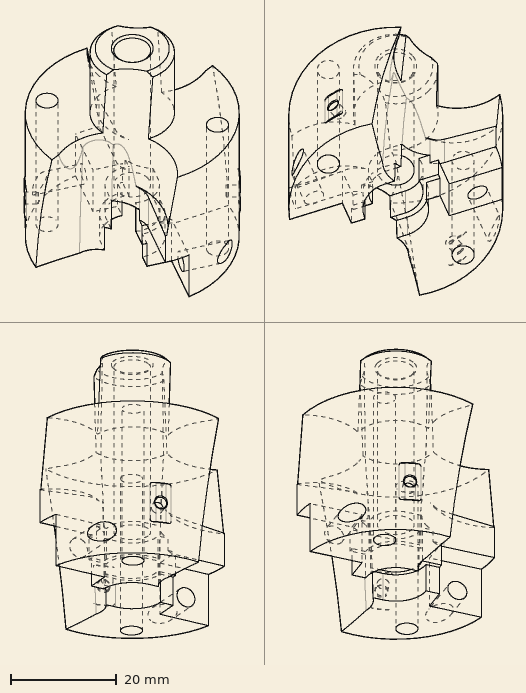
import cadquery as cq
import math

total_height = 47.6
body_height = 31.35
body_radius = 20.25
shaft_radius = 8.0
shaft_chamfer = 1.0
overrun = 4.75

bore_radius = 3.5
bore_chamfer = 0.5

groove_radius = 11.9
groove_distance = 17.75
groove_angle = 151.2
twist_rate = 0.441
groove_start_height = 14.3
ledge_height = 18.55
ledge_inner_x = 7.3
ledge_slope = 5.4

face_fillet_outer_x = 9.85
face_fillet_mid_x = 8.5
face_fillet_mid_y = 0.25
face_fillet_inner_x = 7.25
face_fillet_inner_y = 0.95
core_edge_y = 5.1
core_mid_y = 2.85
core_mid_fraction = 0.35
core_y = 8.55
core_bulge = 0.25
back_face_y = 10.95
back_mid_y = 15.25

flute_levels = [
    (0, 3.05, 1.5, 2.0, 2.75),
    (body_height / 2, 3.3, 2.35, 3.2, 4.85),
    (body_height, 4.4, 4.0, 6.15, 8.05),
]

seat_inner_x = 8.95
seat_depth = 4.9
seat_height = 10.55
insert_hole_radius = 1.95
insert_hole_x = 14.65
insert_hole_z = 4.75

wide_bore_radius = 6.2
wide_bore_height = 5.8
narrow_bore_radius = 5.15
narrow_bore_height = 13.1

coolant_radius = 2.1
coolant_distance = 16.5
coolant_angle = 240.0

pad_angle = 255.0
pad_width = 4.15
pad_flat_width = 2.0
pad_rise = 0.2
pad_root_depth = 0.95
pad_length = 8.1
pad_center_z = 10.6
pad_corner_radius = 0.5
pad_hole_radius = 1.15
pad_hole_chamfer = 0.2
pad_hole_depth = 2.65

repeat_angles = (0, 180)


def make_blank():
    """Round body with a chamfered shaft on top."""
    body = cq.Workplane("XY").circle(body_radius).extrude(body_height)
    shaft = cq.Workplane("XY").circle(shaft_radius).extrude(total_height)
    return body.union(shaft.faces(">Z").chamfer(shaft_chamfer))


def make_bore():
    """Through bore with a conical lead-in at the top."""
    mouth_radius = bore_radius + bore_chamfer
    cone_base = total_height - bore_chamfer
    return (
        cq.Workplane("XZ")
        .polyline([
            (0, 0),
            (bore_radius, 0),
            (bore_radius, cone_base),
            (mouth_radius, total_height),
            (0, total_height),
        ])
        .close()
        .revolve(360, (0, 0, 0), (0, 1, 0))
    )


def make_upper_flute():
    """Twisted round groove that ends below on a sloping ledge."""
    height = total_height - groove_start_height
    angle = math.radians(groove_angle - twist_rate * (body_height - groove_start_height))
    center = (groove_distance * math.cos(angle), groove_distance * math.sin(angle))
    groove = (
        cq.Workplane("XY")
        .workplane(offset=groove_start_height)
        .moveTo(*center)
        .circle(groove_radius)
        .twistExtrude(height, twist_rate * height)
    )
    return groove.intersect(make_space_above_ledge())


def make_space_above_ledge():
    """Block on the -X side whose sloping underside is the ledge."""
    reach = groove_distance + groove_radius
    slope = math.tan(math.radians(ledge_slope))
    return (
        cq.Workplane("XZ")
        .polyline([
            (0, ledge_height + slope * ledge_inner_x),
            (-reach, ledge_height - slope * (reach - ledge_inner_x)),
            (-reach, total_height),
            (0, total_height),
        ])
        .close()
        .extrude(reach, both=True)
    )


def make_lower_flute():
    """Flute lofted through three levels, leaving a small block beside the insert seat."""
    outside = body_radius + overrun
    sections = cq.Workplane("XY")
    previous_height = 0
    for height, edge_x, back_x, mid_x, rim_x in flute_levels:
        core_mid_x = edge_x + core_mid_fraction * (face_fillet_inner_x - edge_x)
        rim_y = math.sqrt(body_radius**2 - rim_x**2)
        sections = (
            sections
            .workplane(offset=height - previous_height)
            .moveTo(-outside, 0)
            .lineTo(-face_fillet_outer_x, 0)
            .threePointArc(
                (-face_fillet_mid_x, face_fillet_mid_y),
                (-face_fillet_inner_x, face_fillet_inner_y),
            )
            .threePointArc((-core_mid_x, core_mid_y), (-edge_x, core_edge_y))
            .threePointArc((core_bulge - back_x, core_y), (-back_x, back_face_y))
            .threePointArc((-mid_x, back_mid_y), (-rim_x, rim_y))
            .lineTo(-rim_x, outside)
            .lineTo(-outside, outside)
            .close()
        )
        previous_height = height
    block = (
        cq.Workplane("XY")
        .box(seat_inner_x, face_fillet_inner_y, seat_height, centered=False)
        .translate((-seat_inner_x, 0, 0))
    )
    return sections.loft(ruled=False).cut(block)


def make_counterbore(radius, height, side_y):
    """Round bore opened in the -X direction from side_y up to its own radius."""
    bore = cq.Workplane("XY").circle(radius).extrude(height)
    opening = (
        cq.Workplane("XY")
        .box(body_radius, radius - side_y, height, centered=False)
        .translate((-body_radius, side_y, 0))
    )
    return bore.union(opening)


def make_insert_seat():
    return (
        cq.Workplane("XY")
        .box(body_radius, seat_depth + wide_bore_radius, seat_height, centered=False)
        .translate((-seat_inner_x - body_radius, -seat_depth, 0))
    )


def make_insert_hole():
    return (
        cq.Workplane("XZ")
        .center(-insert_hole_x, insert_hole_z)
        .circle(insert_hole_radius)
        .extrude(body_radius)
    )


def make_coolant_hole():
    angle = math.radians(coolant_angle)
    return (
        cq.Workplane("XY")
        .center(coolant_distance * math.cos(angle), coolant_distance * math.sin(angle))
        .circle(coolant_radius)
        .extrude(body_height)
    )


def make_pad():
    """Bevelled pad, built on the +X side and turned to its place."""
    root_x = body_radius - pad_root_depth
    half = pad_width / 2
    edge_x = math.sqrt(body_radius**2 - half**2)
    top_x = body_radius + pad_rise
    pad = (
        cq.Workplane("XY")
        .polyline([
            (root_x, -half),
            (edge_x, -half),
            (top_x, -pad_flat_width / 2),
            (top_x, pad_flat_width / 2),
            (edge_x, half),
            (root_x, half),
        ])
        .close()
        .extrude(pad_length)
        .translate((0, 0, pad_center_z - pad_length / 2))
    )
    pad_outline = (
        cq.Workplane("YZ")
        .center(0, pad_center_z)
        .rect(pad_width, pad_length)
        .extrude(body_radius + overrun)
        .edges("|X")
        .fillet(pad_corner_radius)
    )
    return pad.intersect(pad_outline).rotate((0, 0, 0), (0, 0, 1), pad_angle)


def make_pad_hole():
    top_x = body_radius + pad_rise
    hole = (
        cq.Workplane("XY")
        .polyline([
            (top_x - pad_hole_depth, 0),
            (top_x - pad_hole_depth, pad_hole_radius),
            (top_x - pad_hole_chamfer, pad_hole_radius),
            (top_x, pad_hole_radius + pad_hole_chamfer),
            (top_x, 0),
        ])
        .close()
        .revolve(360, (0, 0, 0), (1, 0, 0))
    )
    return hole.translate((0, 0, pad_center_z)).rotate((0, 0, 0), (0, 0, 1), pad_angle)


cuts = [
    make_upper_flute(),
    make_lower_flute(),
    make_counterbore(wide_bore_radius, wide_bore_height, 0),
    make_counterbore(narrow_bore_radius, narrow_bore_height, face_fillet_inner_y),
    make_insert_seat(),
    make_insert_hole(),
    make_coolant_hole(),
    make_pad_hole(),
]

result = make_blank().cut(make_bore())
for turn in repeat_angles:
    result = result.union(make_pad().rotate((0, 0, 0), (0, 0, 1), turn))
    for cut in cuts:
        result = result.cut(cut.rotate((0, 0, 0), (0, 0, 1), turn))